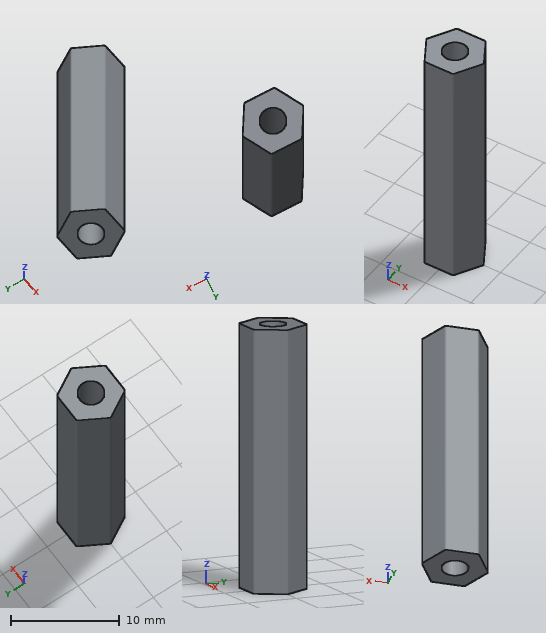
import cadquery as cq
import math

length = 25.0
across_flats = 5.5
corner_radius = 0.25
bore_diameter = 2.5

across_corners = across_flats / math.cos(math.pi / 6)

bar = cq.Workplane("XY").polygon(6, across_corners).extrude(length)
bar = bar.edges("|Z").fillet(corner_radius)

result = bar.faces(">Z").workplane().hole(bore_diameter)